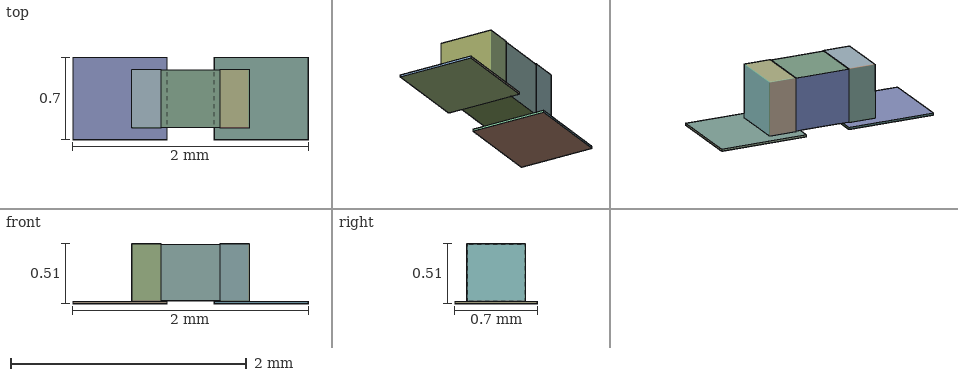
import cadquery as cq

overall_length = 2.0
pad_length = 0.8
pad_width = 0.7
pad_thickness = 0.02

chip_length = 1.0
chip_width = 0.5
chip_height = 0.49
cap_length = 0.25
cap_step = 0.005
edge_radius = 0.005


def make_end_cap(side):
    """End cap on the -X (side = -1) or +X (side = 1) end, with its outer edges rounded."""
    end_edges = ">X" if side > 0 else "<X"
    cap_center_x = side * (chip_length - cap_length) / 2
    return (
        cq.Workplane("XY")
        .box(cap_length, chip_width, chip_height)
        .edges(f"|X or {end_edges}")
        .fillet(edge_radius)
        .translate((cap_center_x, 0, pad_thickness + chip_height / 2))
    )


def make_chip():
    """One solid: a slightly slimmer middle section between two end caps."""
    chip = cq.Workplane("XY").box(
        chip_length - 2 * cap_length,
        chip_width - 2 * cap_step,
        chip_height - 2 * cap_step,
    ).translate((0, 0, pad_thickness + chip_height / 2))
    for side in (-1, 1):
        chip = chip.union(make_end_cap(side))
    return chip


def make_pad(side):
    """Flat land pad under one end of the chip."""
    pad_center_x = side * (overall_length - pad_length) / 2
    return (
        cq.Workplane("XY")
        .box(pad_length, pad_width, pad_thickness, centered=(True, True, False))
        .translate((pad_center_x, 0, 0))
    )


chip = make_chip()
pads = [make_pad(side) for side in (-1, 1)]

result = cq.Compound.makeCompound([chip.val(), *[pad.val() for pad in pads]])